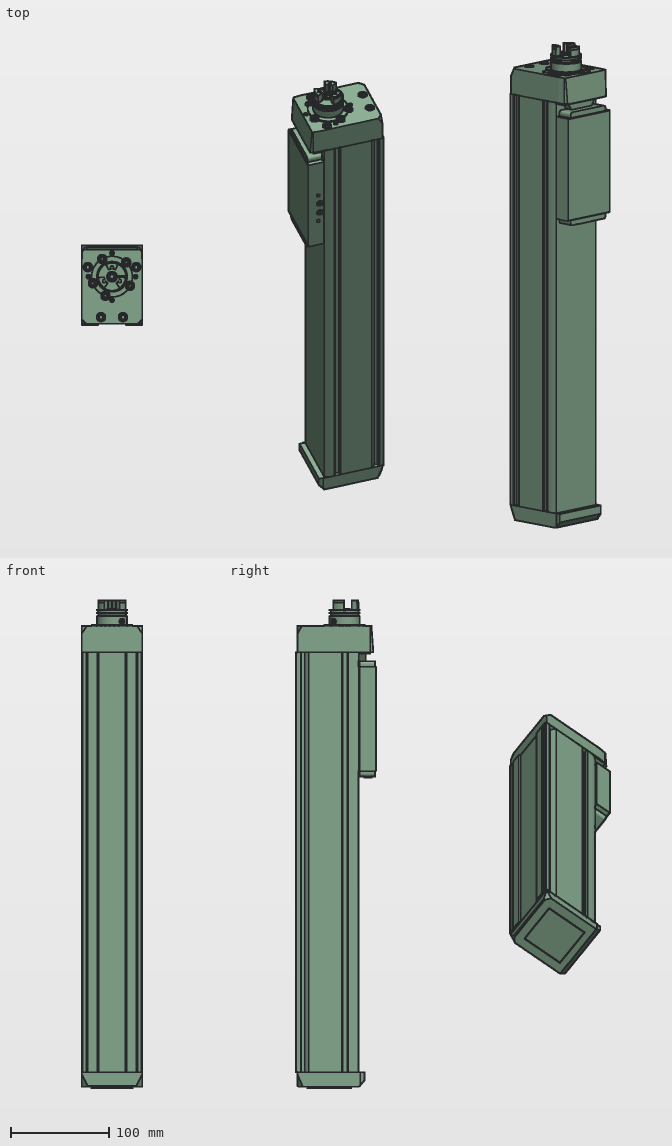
import cadquery as cq
import math


width = 61.8
half_width = width / 2
profile_length = 428.0
profile_front = -49.8
profile_back = 14.2
cap_front = -48.2
edge_chamfer_x = 1.2
edge_chamfer_y = 0.5
side_arc_start = 4.5
channel_half_width = 13.4
channel_slope = 1.5
front_groove_x = 25.4
front_groove_width = 1.6
front_groove_depth = 1.0
slot_depth = 4.0
rear_chamfer = 1.4
front_chamfer = 1.0
rear_slot_edges = (3.9, -3.1)
front_slot_edges = (-36.5, -45.0)
front_slot_slope = 2.8

top_cap_height = 27.0
cap_top = profile_length + top_cap_height
cap_taper_start = 18.8
cap_taper_end = 26.2
cap_taper = 0.8
cap_back = 29.4
cap_back_corner = 1.6
cap_back_lean = 1.9
cap_lip_depth = 1.4
top_corner_cut = (5.0, 4.5, 8.0)

bottom_cap_height = 15.1
foot_height = 1.3
foot_width = 42.0
foot_front = -38.0
foot_back = 7.0
bottom_cap_back = 15.8
bottom_tail_back = 20.3
tail_inset = 0.6
tail_straight = 8.5
bottom_corner_cut = (6.5, 5.5, 13.0)
bottom_edge_chamfer = 1.2

screw_positions = [(-24.7, 9.7), (24.7, 9.7), (-11.2, -41.3), (11.2, -41.3)]
screw_bore_diameter = 9.0
screw_bore_depth = 6.0
screw_head_diameter = 7.4
screw_head_height = 5.0
screw_shank_diameter = 5.0
screw_reach = 15.0
socket_diameter = 4.5
socket_depth = 2.5

overall_height = 497.4
connector_height = overall_height - foot_height - bottom_cap_height - cap_top
flange_radius = 20.8
flange_height = 1.4
barrel_radius = 15.5
barrel_top = 10.9
barrel_chamfer = 1.2
neck_radius = 14.3
ring_height = 0.6
ring_bottoms = (12.9, 15.9)
barrel_end = ring_bottoms[-1] + ring_height
prong_inner_radius = 8.0
prong_half_angle = 26.0
prong_angles = (90, 210, 330)
prong_groove_radius = 9.3
prong_groove_diameter = 3.24
prong_tip_height = 2.4
prong_tip_inset = 0.4
side_hole_angle = -48.0
side_hole_z = 4.6
side_hole_steps = [(6.0, 1.5), (3.24, 4.0)]
hub_diameter = 10.4
hub_height = 1.0
hub_steps = [(7.4, 0.5), (4.5, 0.0)]
mark_width = 1.5
mark_depth = 0.8

recess_circle_radius = 20.6
recess_angles = (45, 119, 199, 251, 333)
recess_steps = [(9.0, 2.0), (6.2, 4.0), (3.24, 8.0)]
small_hole_circle_radius = 24.0
small_hole_steps = [(4.13, 2.0), (2.46, 6.0)]

module_front = 15.3
module_back = 32.2
module_bottom = 307.0
module_top = 413.6
module_edge_chamfer = 0.6
module_end_half_width = 26.0
module_end_back = 31.1
module_end_height = 5.6
module_end_round = 3.0
nub_height = 1.2
nub_front = 20.0
nub_back = 27.5
nub_half_width = 12.0
port_z = 354.6
port_pitch = 11.8
port_y = 19.6
port_diameter = 6.2
port_core_diameter = 2.46
port_depth = 4.0
module_hole_pitch = 33.2
module_hole_y = 21.1
module_hole_diameter = 3.24
link_back = 21.8
link_top_half_width = 20.0
link_bottom_half_width = 15.0


def block(x0, x1, y0, y1, z0, z1):
    return cq.Workplane("XY").box(x1 - x0, y1 - y0, z1 - z0, centered=False).translate((x0, y0, z0))


def rod(x, y, z0, z1, diameter):
    return cq.Workplane("XY", origin=(x, y, z0)).circle(diameter / 2).extrude(z1 - z0)


def on_circle(radius, angle):
    return (radius * math.cos(math.radians(angle)), radius * math.sin(math.radians(angle)))


def both_sides(shape):
    return shape.union(shape.mirror("YZ"))


def upright_prism(points, z0, z1):
    return cq.Workplane("XY", origin=(0, 0, z0)).polyline(points).close().extrude(z1 - z0)


def corner_cutter(z, legs, up):
    """Pyramid that takes off a front left corner; its Z leg points up or down from z."""
    leg_x, leg_y, leg_z = legs
    corner = cq.Vector(-half_width, cap_front, z)
    along_x = corner + cq.Vector(leg_x, 0, 0)
    along_y = corner + cq.Vector(0, leg_y, 0)
    along_z = corner + cq.Vector(0, 0, leg_z if up else -leg_z)
    triangles = [
        (corner, along_x, along_y),
        (corner, along_y, along_z),
        (corner, along_z, along_x),
        (along_x, along_y, along_z),
    ]
    faces = [cq.Face.makeFromWires(cq.Wire.makePolygon(t, close=True)) for t in triangles]
    return cq.Workplane(cq.Solid.makeSolid(cq.Shell.makeShell(faces)))


def slot_outline(edges, slope):
    """Right-hand side slot with chamfered mouth; slope leans its rear wall towards the front."""
    rear, front = edges
    floor_x = half_width - slot_depth
    return [
        (half_width, rear),
        (half_width - rear_chamfer, rear - rear_chamfer),
        (floor_x, rear - rear_chamfer - slope),
        (floor_x, front + front_chamfer),
        (half_width - front_chamfer, front + front_chamfer),
        (half_width, front),
    ]


def make_profile():
    arc_mid_y = (profile_back - side_arc_start) / 2
    arc_mid_x = math.sqrt(half_width**2 - arc_mid_y**2)
    arc_end_y = profile_back - side_arc_start
    arc_end_x = math.sqrt(half_width**2 - arc_end_y**2)
    body = (
        cq.Workplane("XY")
        .moveTo(-half_width + edge_chamfer_x, profile_front)
        .lineTo(half_width - edge_chamfer_x, profile_front)
        .lineTo(half_width, profile_front + edge_chamfer_y)
        .lineTo(half_width, side_arc_start)
        .threePointArc((arc_mid_x, side_arc_start + arc_mid_y), (arc_end_x, profile_back))
        .lineTo(-arc_end_x, profile_back)
        .threePointArc((-arc_mid_x, side_arc_start + arc_mid_y), (-half_width, side_arc_start))
        .lineTo(-half_width, profile_front + edge_chamfer_y)
        .close()
        .extrude(profile_length)
    )
    channel = [
        (-channel_half_width - channel_slope, profile_front),
        (-channel_half_width, cap_front),
        (channel_half_width, cap_front),
        (channel_half_width + channel_slope, profile_front),
    ]
    front_groove = [
        (front_groove_x - front_groove_width / 2, profile_front),
        (front_groove_x, profile_front + front_groove_depth),
        (front_groove_x + front_groove_width / 2, profile_front),
    ]
    rear_slot = slot_outline(rear_slot_edges, 0)
    front_slot = slot_outline(front_slot_edges, front_slot_slope)
    body = body.cut(upright_prism(channel, 0, profile_length))
    for groove in (front_groove, rear_slot, front_slot):
        body = body.cut(both_sides(upright_prism(groove, 0, profile_length)))
    for x, y in screw_positions:
        body = body.cut(rod(x, y, profile_length - screw_reach, profile_length, screw_shank_diameter))
    return body


def cut_connector_recesses(body):
    """Stepped recesses that pass through the connector flange into the top cap."""
    top = cap_top + flange_height
    for angle in recess_angles:
        x, y = on_circle(recess_circle_radius, angle)
        for diameter, depth in recess_steps:
            body = body.cut(rod(x, y, cap_top - depth, top, diameter))
    return body


def make_top_cap():
    tapered = half_width - cap_taper
    outline = [
        (-half_width, cap_front),
        (half_width, cap_front),
        (half_width, cap_taper_start),
        (tapered, cap_taper_end),
        (tapered - cap_back_corner, cap_back),
        (-tapered + cap_back_corner, cap_back),
        (-tapered, cap_taper_end),
        (-half_width, cap_taper_start),
    ]
    body = upright_prism(outline, profile_length, cap_top)
    lip_bottom = profile_length - cap_lip_depth
    lip = block(-tapered, tapered, profile_back, cap_taper_end, lip_bottom, profile_length)
    body = body.union(lip)
    lean = (
        cq.Workplane("YZ", origin=(-half_width, 0, 0))
        .polyline([(cap_back, profile_length), (cap_back, cap_top), (cap_back - cap_back_lean, cap_top)])
        .close()
        .extrude(width)
    )
    body = body.cut(lean)
    body = body.cut(both_sides(corner_cutter(cap_top, top_corner_cut, up=False)))
    for x, y in screw_positions:
        body = body.cut(rod(x, y, cap_top - screw_bore_depth, cap_top, screw_bore_diameter))
        body = body.cut(rod(x, y, profile_length, cap_top, screw_shank_diameter))
    for angle in (0, 90, 180, 270):
        x, y = on_circle(small_hole_circle_radius, angle)
        for diameter, depth in small_hole_steps:
            body = body.cut(rod(x, y, cap_top - depth, cap_top, diameter))
    return cut_connector_recesses(body)


def make_bottom_cap():
    bottom = -bottom_cap_height
    body = block(-half_width, half_width, cap_front, bottom_cap_back, bottom, 0)
    body = body.faces("<Z").edges("<Y or >Y").chamfer(bottom_edge_chamfer)
    tail = (
        cq.Workplane("YZ", origin=(-half_width + tail_inset, 0, 0))
        .moveTo(bottom_cap_back, 0)
        .lineTo(bottom_tail_back, 0)
        .lineTo(bottom_tail_back, -tail_straight)
        .lineTo(bottom_cap_back, bottom + bottom_edge_chamfer)
        .close()
        .extrude(width - 2 * tail_inset)
    )
    foot = block(-foot_width / 2, foot_width / 2, foot_front, foot_back, bottom - foot_height, bottom)
    body = body.union(tail).union(foot)
    return body.cut(both_sides(corner_cutter(bottom, bottom_corner_cut, up=True)))


def make_screw(x, y):
    seat = cap_top - screw_bore_depth
    head_top = seat + screw_head_height
    screw = rod(x, y, seat, head_top, screw_head_diameter)
    screw = screw.union(rod(x, y, profile_length - screw_reach, seat, screw_shank_diameter))
    socket = (
        cq.Workplane("XY", origin=(x, y, head_top - socket_depth))
        .polygon(6, socket_diameter)
        .extrude(socket_depth)
    )
    return screw.cut(socket)


def prong_sector(outer_radius, z0, z1):
    start = on_circle(prong_inner_radius, -prong_half_angle)
    outer_start = on_circle(outer_radius, -prong_half_angle)
    outer_end = on_circle(outer_radius, prong_half_angle)
    end = on_circle(prong_inner_radius, prong_half_angle)
    return (
        cq.Workplane("XY", origin=(0, 0, z0))
        .moveTo(*start)
        .lineTo(*outer_start)
        .threePointArc((outer_radius, 0), outer_end)
        .lineTo(*end)
        .threePointArc((prong_inner_radius, 0), start)
        .close()
        .extrude(z1 - z0)
    )


def make_prong(angle):
    foot = cap_top + barrel_end
    top = cap_top + connector_height
    tip = top - prong_tip_height
    prong = prong_sector(neck_radius, foot, tip)
    prong = prong.union(prong_sector(neck_radius - prong_tip_inset, tip, top))
    groove = rod(prong_groove_radius, 0, foot, top, prong_groove_diameter)
    return prong.cut(groove).rotate((0, 0, 0), (0, 0, 1), angle)


def cut_side_hole(body):
    """Stepped radial hole in the barrel, towards the front right."""
    for diameter, depth in side_hole_steps:
        hole = (
            cq.Workplane("YZ", origin=(barrel_radius - depth, 0, cap_top + side_hole_z))
            .circle(diameter / 2)
            .extrude(depth)
        )
        body = body.cut(hole.rotate((0, 0, 0), (0, 0, 1), side_hole_angle))
    return body


def make_connector():
    body = rod(0, 0, cap_top, cap_top + flange_height, 2 * flange_radius)
    body = cut_connector_recesses(body)
    body = body.union(rod(0, 0, cap_top, cap_top + barrel_end, 2 * neck_radius))
    barrel = rod(0, 0, cap_top, cap_top + barrel_top, 2 * barrel_radius)
    body = body.union(barrel.faces(">Z").chamfer(barrel_chamfer))
    for bottom in ring_bottoms:
        body = body.union(rod(0, 0, cap_top + bottom, cap_top + bottom + ring_height, 2 * barrel_radius))
    body = cut_side_hole(body)
    face = cap_top + barrel_end
    mark = block(0, neck_radius, -mark_width / 2, mark_width / 2, face - mark_depth, face)
    body = body.cut(mark)
    body = body.union(rod(0, 0, face - mark_depth, face + hub_height, hub_diameter))
    for diameter, floor in hub_steps:
        body = body.cut(rod(0, 0, face + floor, face + hub_height, diameter))
    for angle in prong_angles:
        body = body.union(make_prong(angle))
    return body


def make_module():
    body = block(-half_width, half_width, module_front, module_back, module_bottom, module_top)
    body = body.edges("|X and >Y").chamfer(module_edge_chamfer)
    end = block(
        -module_end_half_width,
        module_end_half_width,
        module_front,
        module_end_back,
        module_bottom - module_end_height,
        module_top + module_end_height,
    )
    end = end.edges("|Y").fillet(module_end_round)
    nub_bottom = module_bottom - module_end_height - nub_height
    nub = block(-nub_half_width, nub_half_width, nub_front, nub_back, nub_bottom, module_bottom)
    pad = block(
        -module_end_half_width,
        module_end_half_width,
        profile_back,
        module_front,
        module_bottom,
        module_top,
    )
    body = body.union(end).union(nub).union(pad)
    left = cq.Workplane("YZ", origin=(-half_width, 0, 0))
    ports = left.pushPoints([(port_y, port_z + s * port_pitch / 2) for s in (-1, 1)])
    ports = ports.circle(port_diameter / 2).circle(port_core_diameter / 2).extrude(port_depth)
    holes = left.pushPoints([(module_hole_y, port_z + s * module_hole_pitch / 2) for s in (-1, 1)])
    holes = holes.circle(module_hole_diameter / 2).extrude(port_depth)
    return body.cut(ports).cut(holes)


def make_link():
    bottom = module_top + module_end_height
    top = profile_length - cap_lip_depth
    return (
        cq.Workplane("XZ", origin=(0, link_back, 0))
        .moveTo(-link_bottom_half_width, bottom)
        .lineTo(link_bottom_half_width, bottom)
        .lineTo(link_top_half_width, top)
        .lineTo(-link_top_half_width, top)
        .close()
        .extrude(link_back - profile_back)
    )


profile = make_profile()
top_cap = make_top_cap()
bottom_cap = make_bottom_cap()
connector = make_connector()
module = make_module()
link = make_link()
screws = [make_screw(x, y) for x, y in screw_positions]

result = cq.Compound.makeCompound(
    [
        profile.val(),
        top_cap.val(),
        bottom_cap.val(),
        connector.val(),
        module.val(),
        link.val(),
        *[screw.val() for screw in screws],
    ]
)